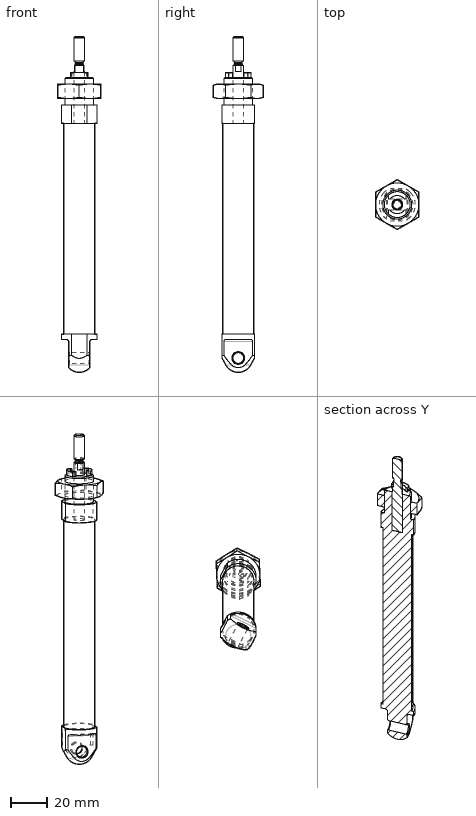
import cadquery as cq
import math

ROD_TOP = 186.0
NECK_TOP = 172.5
NECK_BOTTOM = 170.2
FLAT_BOTTOM = 166.7
COLLAR_TOP = 166.1
NOSE_TOP = 163.5
NUT_BOTTOM = 151.8
FRONT_CAP_TOP = 148.2
TUBE_TOP = 138.0
TUBE_BOTTOM = 21.2
FLANGE_BOTTOM = 18.2
TIP_CONE_TOP = 9.5
EYE_HEIGHT = 8.0

ROD_DIAMETER = 6.0
NECK_DIAMETER = 4.8
NECK_WAIST_DIAMETER = 4.0
ROD_TIP_DIAMETER = 4.8
ROD_TIP_CHAMFER_HEIGHT = 0.7
ROD_ACROSS_FLATS = 5.0

NUT_ACROSS_FLATS = 24.0
NUT_HEIGHT = 8.0
NUT_CHAMFER_ANGLE = 20.0

TUBE_DIAMETER = 17.3
CAP_DIAMETER = 19.9
CAP_ACROSS_FLATS = 18.0
NOSE_DIAMETER = 16.0
NOSE_CHAMFER_HEIGHT = 0.7
COLLAR_DIAMETER = 14.3
COLLAR_BORE = 10.0
COLLAR_WIDTH = 9.7
COLLAR_SLOT_WIDTH = 6.1
TANG_THICKNESS = 11.9
TANG_FILLET = 1.1
TIP_RADIUS = 8.0
EYE_DIAMETER = 6.0
EYE_CHAMFER = 0.5


def disc(diameter, bottom, top):
    """Cylinder on the Z axis between two heights."""
    return cq.Workplane("XY").workplane(offset=bottom).circle(diameter / 2).extrude(top - bottom)


def block(length, width, bottom, top):
    """Box centred on the Z axis between two heights."""
    return cq.Workplane("XY").workplane(offset=bottom).rect(length, width).extrude(top - bottom)


def revolve_about_z(profile):
    return profile.close().revolve(360, (0, 0, 0), (0, 1, 0))


def make_rod():
    """Rod with a chamfered end, a waisted neck and two wrench flats; its foot is level with the tube top."""
    shank = disc(ROD_DIAMETER, TUBE_TOP, NECK_BOTTOM)
    flats = block(ROD_ACROSS_FLATS, ROD_DIAMETER, FLAT_BOTTOM, NECK_BOTTOM)
    shank = shank.cut(disc(ROD_DIAMETER, FLAT_BOTTOM, NECK_BOTTOM).cut(flats))
    end_radius = NECK_DIAMETER / 2
    waist_radius = NECK_WAIST_DIAMETER / 2
    quarter = (NECK_TOP - NECK_BOTTOM) / 4
    neck = revolve_about_z(
        cq.Workplane("XZ")
        .moveTo(0, NECK_BOTTOM)
        .lineTo(end_radius, NECK_BOTTOM)
        .lineTo(end_radius, NECK_BOTTOM + quarter)
        .lineTo(waist_radius, NECK_BOTTOM + 2 * quarter)
        .lineTo(waist_radius, NECK_TOP - quarter)
        .lineTo(end_radius, NECK_TOP)
        .lineTo(0, NECK_TOP)
    )
    tip_chamfer = (ROD_DIAMETER - ROD_TIP_DIAMETER) / 2
    stud = disc(ROD_DIAMETER, NECK_TOP, ROD_TOP)
    stud = stud.faces(">Z").edges().chamfer(ROD_TIP_CHAMFER_HEIGHT, tip_chamfer)
    return shank.union(neck).union(stud)


def make_nut():
    """Hexagon nut with flats facing X and both ends turned to a cone at the corners."""
    corner_diameter = NUT_ACROSS_FLATS / math.cos(math.radians(30))
    hexagon = (
        cq.Workplane("XY")
        .workplane(offset=NUT_BOTTOM)
        .polygon(6, corner_diameter)
        .extrude(NUT_HEIGHT)
        .rotate((0, 0, 0), (0, 0, 1), 90)
    )
    end_radius = NUT_ACROSS_FLATS / 2
    corner_radius = corner_diameter / 2
    chamfer_height = (corner_radius - end_radius) * math.tan(math.radians(NUT_CHAMFER_ANGLE))
    nut_top = NUT_BOTTOM + NUT_HEIGHT
    envelope = revolve_about_z(
        cq.Workplane("XZ")
        .moveTo(0, NUT_BOTTOM)
        .lineTo(end_radius, NUT_BOTTOM)
        .lineTo(corner_radius, NUT_BOTTOM + chamfer_height)
        .lineTo(corner_radius, nut_top - chamfer_height)
        .lineTo(end_radius, nut_top)
        .lineTo(0, nut_top)
    )
    return hexagon.intersect(envelope).cut(disc(NOSE_DIAMETER, NUT_BOTTOM, nut_top))


def make_collar():
    """Two ring segments on the nose, parted by a slot along X and trimmed flat at both ends."""
    ring = disc(COLLAR_DIAMETER, NOSE_TOP, COLLAR_TOP).cut(disc(COLLAR_BORE, NOSE_TOP, COLLAR_TOP))
    ring = ring.intersect(block(COLLAR_WIDTH, COLLAR_DIAMETER, NOSE_TOP, COLLAR_TOP))
    return ring.cut(block(COLLAR_DIAMETER, COLLAR_SLOT_WIDTH, NOSE_TOP, COLLAR_TOP))


def make_front_cap():
    """Flatted cap and chamfered nose carrying the slotted collar."""
    cap = disc(CAP_DIAMETER, TUBE_TOP, FRONT_CAP_TOP)
    cap = cap.intersect(block(CAP_DIAMETER, CAP_ACROSS_FLATS, TUBE_TOP, FRONT_CAP_TOP))
    nose_chamfer = (NOSE_DIAMETER - COLLAR_DIAMETER) / 2
    nose = disc(NOSE_DIAMETER, FRONT_CAP_TOP, NOSE_TOP)
    nose = nose.faces(">Z").edges().chamfer(NOSE_CHAMFER_HEIGHT, nose_chamfer)
    return cap.union(nose).union(make_collar())


def make_rear_blank():
    """Turned rear cap: a cylinder, then a cone tangent to a spherical tip."""
    rim = CAP_DIAMETER / 2
    rim_distance = math.hypot(rim, TIP_CONE_TOP - TIP_RADIUS)
    rim_angle = math.atan2(TIP_CONE_TOP - TIP_RADIUS, rim)
    tangent_angle = rim_angle - math.acos(TIP_RADIUS / rim_distance)

    def sphere_point(angle):
        return TIP_RADIUS * math.cos(angle), TIP_RADIUS * (1 + math.sin(angle))

    middle_angle = (tangent_angle - math.pi / 2) / 2
    return revolve_about_z(
        cq.Workplane("XZ")
        .moveTo(0, TUBE_BOTTOM)
        .lineTo(rim, TUBE_BOTTOM)
        .lineTo(rim, TIP_CONE_TOP)
        .lineTo(*sphere_point(tangent_angle))
        .threePointArc(sphere_point(middle_angle), (0, 0))
    )


def make_rear_cap():
    """Rear cap cut down to a flat tang with a chamfered cross hole along X."""
    cap = make_rear_blank().intersect(block(CAP_DIAMETER, CAP_ACROSS_FLATS, 0, TUBE_BOTTOM))
    half_tang = TANG_THICKNESS / 2
    for side in (-1, 1):
        relief = (
            cq.Workplane("XY")
            .box(CAP_DIAMETER, 2 * CAP_DIAMETER, FLANGE_BOTTOM, centered=(True, True, False))
            .translate((side * (half_tang + CAP_DIAMETER / 2), 0, 0))
        )
        inner_edge = relief.faces("<X" if side > 0 else ">X").edges(">Z")
        cap = cap.cut(inner_edge.fillet(TANG_FILLET))
    eye_radius = EYE_DIAMETER / 2
    eye = (
        cq.Workplane("XY")
        .moveTo(-half_tang, 0)
        .lineTo(-half_tang, eye_radius + EYE_CHAMFER)
        .lineTo(-half_tang + EYE_CHAMFER, eye_radius)
        .lineTo(half_tang - EYE_CHAMFER, eye_radius)
        .lineTo(half_tang, eye_radius + EYE_CHAMFER)
        .lineTo(half_tang, 0)
        .close()
        .revolve(360, (0, 0, 0), (1, 0, 0))
        .translate((0, 0, EYE_HEIGHT))
    )
    return cap.cut(eye)


def make_cylinder():
    """Tube with both end caps and the rod bore through the front cap."""
    tube = disc(TUBE_DIAMETER, TUBE_BOTTOM, TUBE_TOP)
    body = tube.union(make_front_cap()).union(make_rear_cap())
    return body.cut(disc(ROD_DIAMETER, TUBE_TOP, NOSE_TOP))


rod = make_rod()
nut = make_nut()
cylinder = make_cylinder()
result = cq.Compound.makeCompound([cylinder.val(), rod.val(), nut.val()])